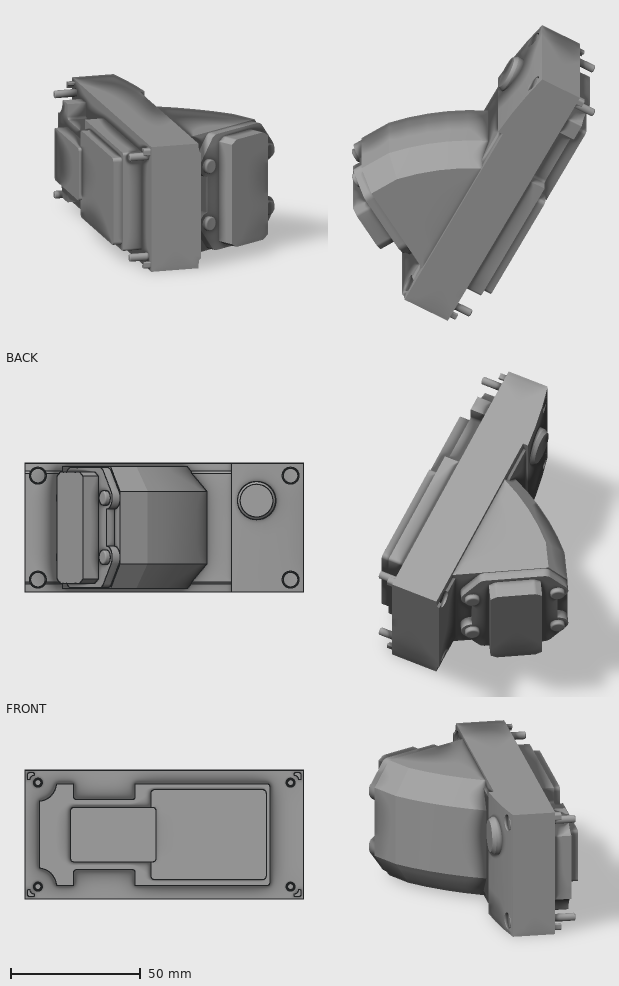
import cadquery as cq
import math


base_length = 107.3
base_width = 49.7
half_length = base_length / 2
half_width = base_width / 2
plateau_height = 20.0
ramp_low_height = 16.55
ramp_mid_offset = 13.0
ramp_mid_height = 19.15
ramp_length = 27.7
ramp_top_height = 20.9
ledge_outer_height = 18.85
ledge_inner_height = 19.15
ledge_width = 3.1

screw_x = 48.6
screw_z = 20.0
shank_diameter = 3.0
shank_tip_diameter = 2.3
shank_length = 23.6
head_diameter = 5.6
head_height = 2.4
clearance_diameter = 3.4
counterbore_diameter = 6.49
left_protrusion = 8.75
right_protrusion = 7.4

lug_height = 2.6
lug_edge_inset = 1.0
lug_size = 2.65
lug_inner_radius = 1.65
lug_corner_radius = 0.9
lug_tip_radius = 0.4

body_depth = 7.43
body_left = -47.9
body_right = 40.6
body_half_width = 19.55
body_corner_radius = 1.0
screw_relief_radius = 7.15
relief_edge_radius = 0.6
notch_left = -34.85
notch_right = -11.2
notch_half_width = 13.5
notch_corner_radius = 1.0

small_plate_depth = 12.3
small_plate_left = -36.0
small_plate_right = -3.2
small_plate_width = 20.9
small_plate_radius = 1.15

large_plate_depth = 11.0
large_plate_left = -5.15
large_plate_right = 39.25
large_plate_width = 34.6
large_plate_radius = 1.4

button_x = -35.5
button_z = 10.4
button_root_radius = 7.5
button_rim_radius = 7.3
button_top_radius = 6.3
button_root_height = 18.0
button_rim_height = 21.0
button_top_height = 22.4

hood_half_width = 23.5
hood_flat_half_width = 13.9
hood_bevel_inset = 7.3
hood_bevel_width = hood_half_width - hood_flat_half_width
bevel_angle = math.atan2(hood_bevel_inset, hood_bevel_width)
face_angle = math.radians(60)
hood_tip = (17.0, 57.48)
hood_top_length = 12.4
hood_face_length = 43.1
hood_back_foot = (-16.4, 20.1)
hood_back_middle = (-2.4, 42.2)
hood_root_depth = 10.0

flange_length = 41.4
flange_thickness = 3.5
flange_half_width = 23.1
flange_corner_radius = 3.4
lobe_diameter = 8.5
lobe_radius = lobe_diameter / 2
lobe_z = 11.4
connector_screw_head_height = 2.0
connector_screw_head_round = 0.6
plug_length = 20.0
plug_half_width = 21.4
plug_height = 10.3
plug_bevel_length = 2.5
plug_bevel_width = 1.6
plug_corner_radius = 1.8

down_face = (math.cos(face_angle), -math.sin(face_angle))
out_of_face = (math.sin(face_angle), math.cos(face_angle))
face_plane = cq.Plane(
    origin=(hood_tip[0], hood_tip[1], 0),
    xDir=(down_face[0], down_face[1], 0),
    normal=(out_of_face[0], out_of_face[1], 0),
)
across_face = cq.selectors.ParallelDirSelector(face_plane.zDir)


def plane_at(height):
    """Plane parallel to the mounting face; local axes are X and Z, extrusion goes towards -Y."""
    return cq.Workplane("XZ", origin=(0, height, 0))


def plate_below(left, right, width, depth, radius):
    """Rounded rectangular plate from the mounting face down to a depth."""
    return (
        plane_at(0)
        .center((left + right) / 2, 0)
        .rect(right - left, width)
        .extrude(depth)
        .edges("|Y")
        .fillet(radius)
    )


def make_base():
    """Block with a crowned ramp at -X and a plateau with a bevelled ledge along both long sides."""
    ramp_end = -half_length + ramp_length
    block = (
        cq.Workplane("XY", origin=(0, 0, -half_width))
        .moveTo(-half_length, 0)
        .lineTo(-half_length, ramp_low_height)
        .threePointArc((-half_length + ramp_mid_offset, ramp_mid_height), (ramp_end, ramp_top_height))
        .lineTo(ramp_end, plateau_height)
        .lineTo(half_length, plateau_height)
        .lineTo(half_length, 0)
        .close()
        .extrude(base_width)
    )
    step = plateau_height - ledge_inner_height
    ledge_edge = half_width - ledge_width
    ledge = (
        cq.Workplane("YZ", origin=(ramp_end, 0, 0))
        .moveTo(ramp_top_height, half_width)
        .lineTo(ledge_outer_height, half_width)
        .lineTo(ledge_inner_height, ledge_edge)
        .lineTo(plateau_height, ledge_edge - step)
        .lineTo(ramp_top_height, ledge_edge - step)
        .close()
        .extrude(half_length - ramp_end)
    )
    return block.cut(ledge).cut(ledge.mirror("XY"))


def relief_reach(z):
    """Distance in X from the screw axis to the rim of its round relief, at a given z."""
    return math.sqrt(screw_relief_radius**2 - (screw_z - z) ** 2)


def make_stepped_body():
    """Stepped body below the base: notched block carrying two rounded plates."""
    length = body_right - body_left
    block = (
        plane_at(0)
        .center((body_left + body_right) / 2, 0)
        .rect(length, 2 * body_half_width)
        .extrude(body_depth)
        .edges("|Y and >X")
        .fillet(body_corner_radius)
    )
    reliefs = (
        plane_at(0)
        .pushPoints([(-screw_x, screw_z), (-screw_x, -screw_z)])
        .circle(screw_relief_radius)
        .extrude(body_depth)
    )
    block = block.cut(reliefs)
    relief_end_x = relief_reach(body_half_width) - screw_x
    for side in (1, -1):
        edge_middle = (relief_end_x, -body_depth / 2, side * body_half_width)
        tab_edge = cq.selectors.NearestToPointSelector(edge_middle)
        block = block.edges(tab_edge).fillet(relief_edge_radius)
    for side in (1, -1):
        notch = (
            plane_at(0)
            .center((notch_left + notch_right) / 2, side * 2 * notch_half_width)
            .rect(notch_right - notch_left, 2 * notch_half_width)
            .extrude(body_depth)
            .edges("|Y")
            .fillet(notch_corner_radius)
        )
        block = block.cut(notch)
    small_plate = plate_below(
        small_plate_left, small_plate_right, small_plate_width, small_plate_depth, small_plate_radius
    )
    large_plate = plate_below(
        large_plate_left, large_plate_right, large_plate_width, large_plate_depth, large_plate_radius
    )
    return block.union(small_plate).union(large_plate)


def make_lug(side_x, side_z):
    """Corner lug with a curved section, hollow towards the middle of the base."""
    outer_x = half_length - lug_edge_inset
    outer_z = half_width - lug_edge_inset
    inner_x = outer_x - lug_size
    inner_z = outer_z - lug_size
    block = (
        plane_at(0)
        .center(outer_x - lug_size / 2, outer_z - lug_size / 2)
        .rect(lug_size, lug_size)
        .extrude(lug_height)
        .edges("|Y and >X and >Z")
        .fillet(lug_corner_radius)
    )
    hollow = plane_at(0).center(inner_x, inner_z).circle(lug_inner_radius).extrude(lug_height)
    lug = block.cut(hollow)
    lug = lug.faces("<X").edges("|Y and >Z").fillet(lug_tip_radius)
    lug = lug.faces("<Z").edges("|Y and >X").fillet(lug_tip_radius)
    if side_x < 0:
        lug = lug.mirror("YZ")
    if side_z < 0:
        lug = lug.mirror("XY")
    return lug


def make_button():
    """Round button with a tapered rim, standing out of the ramp."""
    return (
        cq.Workplane("XY", origin=(button_x, 0, button_z))
        .moveTo(0, button_root_height)
        .lineTo(button_root_radius, button_root_height)
        .lineTo(button_rim_radius, button_rim_height)
        .lineTo(button_top_radius, button_top_height)
        .lineTo(0, button_top_height)
        .close()
        .revolve(360, (0, 0, 0), (0, 1, 0))
    )


def along_face(u, w):
    """XY point at distance u down the hood face and w out of it."""
    return (
        hood_tip[0] + u * down_face[0] + w * out_of_face[0],
        hood_tip[1] + u * down_face[1] + w * out_of_face[1],
    )


def hood_outline(height):
    """Hood profile drawn past its face and its foot, so that a taper bevels only the back and top."""
    margin = 2 * hood_bevel_inset
    knee = along_face(0, -hood_top_length)
    return (
        cq.Workplane("XY", origin=(0, 0, height))
        .moveTo(*hood_back_foot)
        .threePointArc(hood_back_middle, knee)
        .lineTo(*along_face(0, margin))
        .lineTo(*along_face(hood_face_length + 2 * margin, margin))
        .lineTo(hood_back_foot[0], hood_back_foot[1] - 2 * margin)
        .close()
    )


def make_hood():
    """Hood with a curved back, bevelled on both sides and cut flat at the connector face."""
    middle = hood_outline(-hood_flat_half_width).extrude(2 * hood_flat_half_width)
    bevel = hood_outline(hood_flat_half_width).extrude(hood_bevel_width, taper=math.degrees(bevel_angle))
    hood = middle.union(bevel).union(bevel.mirror("XY"))
    reach = 2 * base_length
    in_front_of_face = cq.Workplane(face_plane).rect(reach, reach).extrude(reach)
    below_base_top = plane_at(plateau_height - hood_root_depth).rect(reach, reach).extrude(reach)
    return hood.cut(in_front_of_face).cut(below_base_top)


def make_plug(middle_u):
    """Rectangular plug with bevelled corners, rounded where the bevels meet the long sides."""
    half = plug_length / 2
    quarter = [(half, plug_half_width - plug_bevel_width), (half - plug_bevel_length, plug_half_width)]
    upper = quarter + [(-u, z) for u, z in reversed(quarter)]
    outline = upper + [(u, -z) for u, z in reversed(upper)]
    plug = cq.Workplane(face_plane).center(middle_u, 0).polyline(outline).close().extrude(plug_height)
    for side in (">Z", "<Z"):
        plug = plug.faces(side).edges(across_face).fillet(plug_corner_radius)
    return plug


def make_connector():
    """Flange with four screw lobes and a bevelled plug, on the hood face."""
    lobe_centres = [
        (u, z) for u in (lobe_radius, flange_length - lobe_radius) for z in (lobe_z, -lobe_z)
    ]
    tangent_u = lobe_radius * (1 - math.cos(bevel_angle))
    tangent_z = lobe_z + lobe_radius * math.sin(bevel_angle)
    corner_u = tangent_u + (flange_half_width - tangent_z) * math.tan(bevel_angle)
    upper_side = [(lobe_radius, lobe_z), (tangent_u, tangent_z), (corner_u, flange_half_width)]
    half_outline = upper_side + [(flange_length - u, z) for u, z in reversed(upper_side)]
    outline = half_outline + [(u, -z) for u, z in reversed(half_outline)]
    web = cq.Workplane(face_plane).polyline(outline).close().extrude(flange_thickness)
    for side in (">Z", "<Z"):
        web = web.faces(side).edges(across_face).fillet(flange_corner_radius)
    lobes = cq.Workplane(face_plane).pushPoints(lobe_centres).circle(lobe_radius).extrude(flange_thickness)
    heads = (
        cq.Workplane(face_plane)
        .pushPoints(lobe_centres)
        .circle(head_diameter / 2)
        .extrude(flange_thickness + connector_screw_head_height)
        .faces(cq.selectors.DirectionMinMaxSelector(face_plane.zDir))
        .edges()
        .fillet(connector_screw_head_round)
    )
    return web.union(lobes).union(heads).union(make_plug(flange_length / 2))


def make_screw(x, z, protrusion):
    """Cylinder-head screw along Y with a chamfered tip below the mounting face."""
    seat = shank_length - protrusion
    tip_chamfer = (shank_diameter - shank_tip_diameter) / 2
    shank = (
        plane_at(seat).center(x, z).circle(shank_diameter / 2).extrude(shank_length)
        .faces("<Y").chamfer(tip_chamfer)
    )
    return shank.union(plane_at(seat).center(x, z).circle(head_diameter / 2).extrude(-head_height))


def make_screw_hole(x, z, protrusion):
    """Clearance hole through the base with a counterbore above the screw seat."""
    seat = shank_length - protrusion
    hole = plane_at(seat).center(x, z).circle(clearance_diameter / 2).extrude(seat)
    bore = plane_at(seat).center(x, z).circle(counterbore_diameter / 2).extrude(seat - ramp_top_height)
    return hole.union(bore)


screw_places = [
    (side_x * screw_x, side_z * screw_z, protrusion)
    for side_x, protrusion in ((-1, left_protrusion), (1, right_protrusion))
    for side_z in (-1, 1)
]

housing = make_base().union(make_stepped_body()).union(make_button())
housing = housing.union(make_hood()).union(make_connector())
for side_x in (-1, 1):
    for side_z in (-1, 1):
        housing = housing.union(make_lug(side_x, side_z))
for place in screw_places:
    housing = housing.cut(make_screw_hole(*place))

screws = [make_screw(*place) for place in screw_places]

result = cq.Compound.makeCompound([housing.val(), *[screw.val() for screw in screws]])